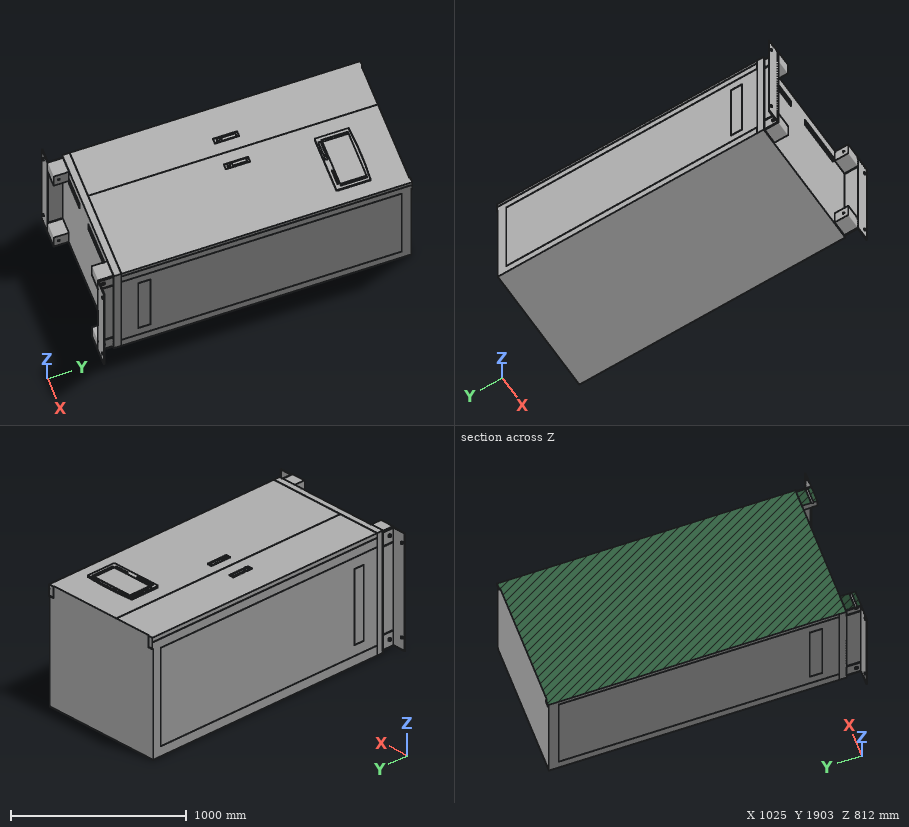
import cadquery as cq


CABINET_WIDTH = 856.0
CABINET_DEPTH = 801.0
CABINET_BOTTOM = 93.0
CABINET_TOP = 1897.0
DOOR_BOTTOM = 139.0
DOOR_THICKNESS = 30.0
DOOR_SEAM_X = -124.0
SEAM = 1.0

HINGE_WIDTH = 36.0
HINGE_DEPTH = 76.0
HINGE_TOP = 1903.0

PANEL_TOP = 1838.0
PANEL_BACK = 67.0
PANEL_FRONT = 710.0
PANEL_RECESS = 1.0
VENT_BOTTOM = 242.0
VENT_TOP = 315.0
VENT_BACK = 137.0
VENT_FRONT = 634.0
VENT_RECESS = 2.0

CABLE_ENTRIES = [(-318.0, -140.0), (4.0, 299.0)]
ENTRY_BACK = 658.0
ENTRY_ROW = 25.0
ENTRY_DEPTHS = (2.0, 1.0)

HANDLE_XS = (-217.0, -36.0)
HANDLE_WIDTH = 32.0
HANDLE_BOTTOM = 936.0
HANDLE_TOP = 1083.0
HANDLE_RECESS = 5.0
LEVER_WIDTH = 23.0
LEVER_SHIFT = 2.9
LEVER_BOTTOM = 982.0
LEVER_TOP = 1070.0
LOCK_Y = 961.0
LOCK_DIAMETER = 19.0
LOCK_HEIGHT = 5.0

CONTROL_X = 155.0
CONTROL_WIDTH = 363.0
CONTROL_BOTTOM = 1477.0
CONTROL_SHOULDER = 1685.0
CONTROL_CROWN = 8.0
CONTROL_HEIGHT = 11.0
CONTROL_CORNER = 5.0
WINDOW_WIDTH = 322.0
WINDOW_BOTTOM = 1511.0
WINDOW_TOP = 1670.0
WINDOW_RECESS = 4.0
SCREEN_WIDTH = 297.0
SCREEN_STEP = 2.0
LABELS = [(2.0, 93.0, 1488.0, 13.0), (97.0, 125.0, 1488.0, 13.0), (204.0, 299.0, 1495.0, 5.0)]
LABEL_RECESS = 2.0

FOOT_SIZE = 100.0
FOOT_OUTER_X = 417.0
FOOT_MARGIN = 11.0
FOOT_EDGE_RADIUS = 4.0
BOLT_Y = 32.0
FOOT_BOLT_DIAMETER = 11.0
FOOT_BACK_ZS = (FOOT_MARGIN, CABINET_DEPTH - FOOT_MARGIN - FOOT_SIZE)

BRACKET_SPAN = 1025.0
BRACKET_THICKNESS = 5.0
BRACKET_BACK = FOOT_MARGIN
BRACKET_FRONT = 782.0
BRACKET_RELIEF = 1.0
BRACKET_BOLT_DIAMETER = 19.0
FLOOR_HOLE_DIAMETER = 15.0
FLOOR_HOLE_X = 490.0
FLOOR_HOLE_ZS = (91.0, 710.0)


def block(x0, x1, y0, y1, z0, z1):
    """Box between two opposite corners."""
    box = cq.Workplane("XY").box(x1 - x0, y1 - y0, z1 - z0, centered=False)
    return box.translate((x0, y0, z0))


def cylinder_x(diameter, x0, x1, y, z):
    """Round bar along X from x0 to x1."""
    bar = cq.Workplane("YZ").circle(diameter / 2).extrude(x1 - x0)
    return bar.translate((x0, y, z))


def cut_door_seams(body):
    """Seam between the doors, below them, and along their side edges."""
    half = CABINET_WIDTH / 2
    front = CABINET_DEPTH
    door_back = front - DOOR_THICKNESS
    body = body.cut(block(DOOR_SEAM_X, DOOR_SEAM_X + SEAM, DOOR_BOTTOM, CABINET_TOP, front - SEAM, front))
    body = body.cut(block(-half, half, DOOR_BOTTOM - SEAM, DOOR_BOTTOM, front - SEAM, front))
    for x in (-half, half - SEAM):
        body = body.cut(block(x, x + SEAM, DOOR_BOTTOM, CABINET_TOP, door_back - SEAM, door_back))
        body = body.cut(block(x, x + SEAM, DOOR_BOTTOM - SEAM, DOOR_BOTTOM, 0, front))
    return body


def add_hinges(body):
    half = CABINET_WIDTH / 2
    for x in (-half, half - HINGE_WIDTH):
        hinge = block(x, x + HINGE_WIDTH, CABINET_TOP, HINGE_TOP, CABINET_DEPTH - HINGE_DEPTH, CABINET_DEPTH)
        body = body.union(hinge)
    return body


def cut_side_panels(body):
    half = CABINET_WIDTH / 2
    inner = half - PANEL_RECESS
    vent_floor = inner - VENT_RECESS
    for x0, x1, vent_x0, vent_x1 in ((-half, -inner, -half, -vent_floor), (inner, half, vent_floor, half)):
        body = body.cut(block(x0, x1, DOOR_BOTTOM, PANEL_TOP, PANEL_BACK, PANEL_FRONT))
        body = body.cut(block(vent_x0, vent_x1, VENT_BOTTOM, VENT_TOP, VENT_BACK, VENT_FRONT))
    return body


def cut_cable_entries(body):
    """Each entry is two rows at different depths."""
    for x0, x1 in CABLE_ENTRIES:
        for row, depth in enumerate(ENTRY_DEPTHS):
            z0 = ENTRY_BACK + row * ENTRY_ROW
            body = body.cut(block(x0, x1, CABINET_BOTTOM, CABINET_BOTTOM + depth, z0, z0 + ENTRY_ROW))
    return body


def add_handle(body, x):
    """Recessed handle with a flush lever and a raised lock."""
    front = CABINET_DEPTH
    floor = front - HANDLE_RECESS
    half = HANDLE_WIDTH / 2
    half_lever = LEVER_WIDTH / 2
    body = body.cut(block(x - half, x + half, HANDLE_BOTTOM, HANDLE_TOP, floor, front))
    lever_x = x + (LEVER_SHIFT if x < DOOR_SEAM_X else -LEVER_SHIFT)
    lever = block(lever_x - half_lever, lever_x + half_lever, LEVER_BOTTOM, LEVER_TOP, floor, front)
    body = body.union(lever)
    lock = cq.Workplane("XY").circle(LOCK_DIAMETER / 2).extrude(HANDLE_RECESS + LOCK_HEIGHT)
    return body.union(lock.translate((lever_x, LOCK_Y, floor)))


def make_control_panel():
    """Raised frame with an arched upper edge, a screen and label strips."""
    left = CONTROL_X - CONTROL_WIDTH / 2
    right = CONTROL_X + CONTROL_WIDTH / 2
    face = CABINET_DEPTH + CONTROL_HEIGHT
    panel = (
        cq.Workplane("XY")
        .workplane(offset=CABINET_DEPTH)
        .moveTo(left, CONTROL_BOTTOM)
        .lineTo(right, CONTROL_BOTTOM)
        .lineTo(right, CONTROL_SHOULDER)
        .threePointArc((CONTROL_X, CONTROL_SHOULDER + CONTROL_CROWN), (left, CONTROL_SHOULDER))
        .close()
        .extrude(CONTROL_HEIGHT)
        .edges("|Z and <Y")
        .fillet(CONTROL_CORNER)
    )
    half_window = WINDOW_WIDTH / 2
    half_screen = SCREEN_WIDTH / 2
    floor = face - WINDOW_RECESS
    panel = panel.cut(
        block(CONTROL_X - half_window, CONTROL_X + half_window, WINDOW_BOTTOM, WINDOW_TOP, floor, face)
    )
    panel = panel.union(
        block(CONTROL_X - half_screen, CONTROL_X + half_screen, WINDOW_BOTTOM, WINDOW_TOP,
              floor, floor + SCREEN_STEP)
    )
    for x0, x1, y0, height in LABELS:
        panel = panel.cut(block(x0, x1, y0, y0 + height, face - LABEL_RECESS, face))
    return panel


def make_cabinet():
    half = CABINET_WIDTH / 2
    body = block(-half, half, CABINET_BOTTOM, CABINET_TOP, 0, CABINET_DEPTH)
    body = cut_side_panels(body)
    body = cut_door_seams(body)
    body = cut_cable_entries(body)
    body = add_hinges(body)
    for x in HANDLE_XS:
        body = add_handle(body, x)
    return body.union(make_control_panel())


def make_foot(side, back_z):
    """Square foot with rounded floor edges and a cross bolt hole; side is -1 or 1."""
    x0, x1 = sorted((side * FOOT_OUTER_X, side * (FOOT_OUTER_X - FOOT_SIZE)))
    foot = block(x0, x1, 0, CABINET_BOTTOM, back_z, back_z + FOOT_SIZE)
    foot = foot.edges("|X and <Y").fillet(FOOT_EDGE_RADIUS)
    return foot.cut(cylinder_x(FOOT_BOLT_DIAMETER, x0, x1, BOLT_Y, back_z + FOOT_SIZE / 2))


def make_bracket(side):
    """L-shaped floor bracket bolted to the outside of two feet; side is -1 or 1."""
    wall_outer = FOOT_OUTER_X + BRACKET_THICKNESS
    wall_x0, wall_x1 = sorted((side * FOOT_OUTER_X, side * wall_outer))
    flange_x0, flange_x1 = sorted((side * FOOT_OUTER_X, side * BRACKET_SPAN / 2))
    wall = block(wall_x0, wall_x1, 0, CABINET_BOTTOM, BRACKET_BACK, BRACKET_FRONT)
    flange = block(flange_x0, flange_x1, 0, BRACKET_THICKNESS, BRACKET_BACK, BRACKET_FRONT)
    relief_x0, relief_x1 = sorted((side * wall_outer, side * (wall_outer - BRACKET_RELIEF)))
    wall = wall.cut(
        block(relief_x0, relief_x1, 0, CABINET_BOTTOM, FOOT_BACK_ZS[0] + FOOT_SIZE, FOOT_BACK_ZS[1])
    )
    bracket = wall.union(flange)
    for back_z in FOOT_BACK_ZS:
        bolt_z = back_z + FOOT_SIZE / 2
        bracket = bracket.cut(cylinder_x(BRACKET_BOLT_DIAMETER, wall_x0, wall_x1, BOLT_Y, bolt_z))
    for z in FLOOR_HOLE_ZS:
        drill = cq.Workplane("XZ").circle(FLOOR_HOLE_DIAMETER / 2).extrude(-BRACKET_THICKNESS)
        bracket = bracket.cut(drill.translate((side * FLOOR_HOLE_X, 0, z)))
    return bracket


cabinet = make_cabinet()
feet = [make_foot(side, back_z) for side in (-1, 1) for back_z in FOOT_BACK_ZS]
brackets = [make_bracket(side) for side in (-1, 1)]

result = cq.Compound.makeCompound(
    [cabinet.val()] + [foot.val() for foot in feet] + [bracket.val() for bracket in brackets]
)